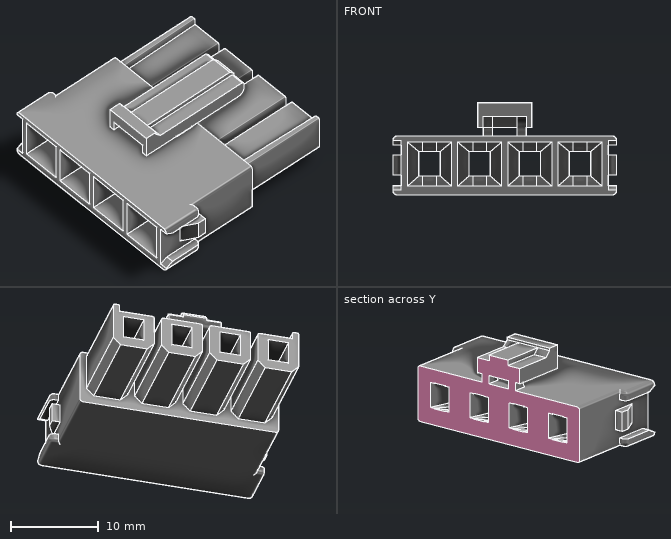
import cadquery as cq

CIRCUITS = 4
PITCH = 5.7

BODY_WIDTH = 23.55
BODY_LENGTH = 14.0
BODY_HEIGHT = 6.75
BODY_EDGE_RADIUS = 0.4

FLANGE_WIDTH = 25.45
FLANGE_LENGTH = 5.22
FLANGE_THICKNESS = 1.07
FLANGE_LIP_THICKNESS = 0.55
FLANGE_RAMP_LENGTH = 0.95
FLANGE_EDGE_RADIUS = 0.53

NUB_FRONT = 2.98
NUB_CREST = 4.89
NUB_REAR = 5.95
NUB_BOTTOM = 2.27
NUB_HEIGHT = 2.32

CAVITY_SIZE = 5.01
CAVITY_BOTTOM = 1.02
FUNNEL_START = 7.64
FUNNEL_END = 12.98
GROOVE_WIDTH = 1.55
GROOVE_LENGTH = 3.56
BORE_WIDTH = 2.4
BORE_HEIGHT = 2.75
BORE_BOTTOM = 2.2

TOTAL_LENGTH = 25.0
POST_WIDTH = 4.85
POST_BOTTOM = 1.05
POST_TOP = 5.6
POST_LOWER_CHAMFER = 0.87
POST_UPPER_RADIUS = 0.25

RIB_TOP = 6.46
RIB_REAR_WIDTH = 0.76
RIB_FRONT_WIDTH = 0.97
RIB_INNER_RADIUS = 0.2

LATCH_WIDTH = 6.15
LATCH_FRONT = 5.6
LATCH_REAR = 20.55
LATCH_BOTTOM = 7.69
LATCH_TOP = 10.5
PRESS_BLOCK_LENGTH = 1.48
SPINE_WIDTH = 2.77
SPINE_TOP = 10.2
SHOULDER_TOP = 9.55
SHOULDER_CHAMFER = 0.3
LATCH_TIP_RADIUS = 0.92

CHANNEL_WIDTH = 4.9
CHANNEL_TOP = 8.93
LEG_WIDTH = 1.07
LEG_WAIST_FRONT = 11.2
LEG_WAIST_REAR = 12.75
LEG_WAIST_Z = 7.69
LEG_FLARE_FRONT = 0.35
LEG_FLARE_REAR = 0.43
LEG_LIP_LENGTH = 0.15
CHANNEL_END = 10.8

EMBED = 0.25


def box(x_min, x_max, y_min, y_max, z_min, z_max):
    size = (x_max - x_min, y_max - y_min, z_max - z_min)
    return cq.Workplane("XY").box(*size, centered=False).translate((x_min, y_min, z_min))


def centred_box(width, y_min, y_max, z_min, z_max):
    return box(-width / 2, width / 2, y_min, y_max, z_min, z_max)


def side_profile(outline, x_min, x_max):
    """Extrude a (Y, Z) outline along X."""
    return cq.Workplane("YZ").polyline(outline).close().extrude(x_max - x_min).translate((x_min, 0, 0))


def mirrored_in_x(shape):
    return shape.union(shape.mirror("YZ"))


def circuit_centres():
    return [(i - (CIRCUITS - 1) / 2) * PITCH for i in range(CIRCUITS)]


def make_body():
    body = centred_box(BODY_WIDTH, 0, BODY_LENGTH, 0, BODY_HEIGHT)
    return body.edges("|Y").fillet(BODY_EDGE_RADIUS)


def make_lower_flange():
    outline = [
        (0, 0),
        (FLANGE_LENGTH, 0),
        (FLANGE_LENGTH, FLANGE_THICKNESS),
        (FLANGE_RAMP_LENGTH, FLANGE_THICKNESS),
        (0, FLANGE_LIP_THICKNESS),
    ]
    flange = side_profile(outline, -FLANGE_WIDTH / 2, FLANGE_WIDTH / 2)
    rear_corners = flange.faces(">Y").edges("|Z")
    outer_edges = rear_corners.add(flange.faces("<Z").edges("|Y or >Y"))
    return outer_edges.fillet(FLANGE_EDGE_RADIUS)


def make_flanges():
    lower = make_lower_flange()
    upper = lower.mirror("XY").translate((0, 0, BODY_HEIGHT))
    return lower.union(upper)


def make_nubs():
    wall = BODY_WIDTH / 2
    crest = FLANGE_WIDTH / 2
    outline = [
        (wall - EMBED, NUB_FRONT),
        (wall, NUB_FRONT),
        (crest, NUB_CREST),
        (crest, NUB_REAR),
        (wall - EMBED, NUB_REAR),
    ]
    nub = cq.Workplane("XY").workplane(offset=NUB_BOTTOM).polyline(outline).close().extrude(NUB_HEIGHT)
    return mirrored_in_x(nub)


def make_post(x_centre):
    post = centred_box(POST_WIDTH, BODY_LENGTH - EMBED, TOTAL_LENGTH, POST_BOTTOM, POST_TOP)
    post = post.faces("<Z").edges("|Y").chamfer(POST_LOWER_CHAMFER)
    post = post.faces(">Z").edges("|Y").fillet(POST_UPPER_RADIUS)
    return post.translate((x_centre, 0, 0))


def make_ribs():
    outer_x = circuit_centres()[0] - POST_WIDTH / 2
    root = POST_TOP - POST_UPPER_RADIUS
    plan = [
        (outer_x, BODY_LENGTH),
        (outer_x + RIB_FRONT_WIDTH, BODY_LENGTH),
        (outer_x + RIB_REAR_WIDTH, TOTAL_LENGTH),
        (outer_x, TOTAL_LENGTH),
    ]
    rib = cq.Workplane("XY").workplane(offset=root).polyline(plan).close().extrude(RIB_TOP - root)
    rib = rib.faces(">Z").edges("<X").fillet(POST_UPPER_RADIUS)
    rib = rib.faces(">Z").edges(">X").fillet(RIB_INNER_RADIUS)
    return mirrored_in_x(rib)


def make_latch_arm():
    block_rear = LATCH_FRONT + PRESS_BLOCK_LENGTH
    ramp = SPINE_TOP - SHOULDER_TOP
    arm = centred_box(LATCH_WIDTH, LATCH_FRONT, LATCH_REAR, LATCH_BOTTOM, SHOULDER_TOP)
    arm = arm.faces(">Y").edges("<Z").fillet(LATCH_TIP_RADIUS)
    arm = arm.faces(">Y").edges(">Z").chamfer(SHOULDER_CHAMFER)

    spine_outline = [
        (LATCH_FRONT, SHOULDER_TOP - LATCH_TIP_RADIUS),
        (LATCH_REAR, SHOULDER_TOP - LATCH_TIP_RADIUS),
        (LATCH_REAR, SHOULDER_TOP),
        (LATCH_REAR - ramp, SPINE_TOP),
        (LATCH_FRONT, SPINE_TOP),
    ]
    spine = side_profile(spine_outline, -SPINE_WIDTH / 2, SPINE_WIDTH / 2)

    block_outline = [
        (LATCH_FRONT, SHOULDER_TOP - EMBED),
        (block_rear + ramp, SHOULDER_TOP - EMBED),
        (block_rear + ramp, SHOULDER_TOP),
        (block_rear, SPINE_TOP),
        (block_rear, LATCH_TOP),
        (LATCH_FRONT, LATCH_TOP),
    ]
    block = side_profile(block_outline, -LATCH_WIDTH / 2, LATCH_WIDTH / 2)
    channel = centred_box(CHANNEL_WIDTH, LATCH_FRONT, CHANNEL_END, LATCH_BOTTOM, CHANNEL_TOP)
    return arm.union(spine).union(block).cut(channel)


def make_right_leg_pocket():
    """Deepening of the channel that exposes the front of the right leg."""
    x_max = CHANNEL_WIDTH / 2
    return box(x_max - LEG_WIDTH, x_max, LATCH_FRONT, LEG_WAIST_FRONT + EMBED, LATCH_BOTTOM, CHANNEL_TOP)


def make_leg(x_min):
    """Leg waisted by front and rear arcs, with a sloped lip under the channel ceiling."""
    foot_front = LEG_WAIST_FRONT - LEG_FLARE_FRONT
    foot_rear = LEG_WAIST_REAR + LEG_FLARE_REAR
    head_z = 2 * LEG_WAIST_Z - BODY_HEIGHT
    return (
        cq.Workplane("YZ", origin=(x_min, 0, 0))
        .moveTo(foot_front, BODY_HEIGHT - EMBED)
        .lineTo(foot_front, BODY_HEIGHT)
        .threePointArc((LEG_WAIST_FRONT, LEG_WAIST_Z), (foot_front, head_z))
        .lineTo(foot_front - LEG_LIP_LENGTH, CHANNEL_TOP)
        .lineTo(foot_rear, CHANNEL_TOP)
        .lineTo(foot_rear, head_z)
        .threePointArc((LEG_WAIST_REAR, LEG_WAIST_Z), (foot_rear, BODY_HEIGHT))
        .lineTo(foot_rear, BODY_HEIGHT - EMBED)
        .close()
        .extrude(LEG_WIDTH)
    )


def make_left_leg_head():
    """Square head that fills the channel in front of the left leg."""
    x_min = -CHANNEL_WIDTH / 2
    front = LEG_WAIST_FRONT - LEG_FLARE_FRONT - LEG_LIP_LENGTH
    return box(x_min, x_min + LEG_WIDTH, front, LEG_WAIST_REAR, LATCH_BOTTOM, CHANNEL_TOP)


def tapered_passage(start_width, end_width, y_start):
    """Passage that shrinks from the cavity height at y_start to the bore height at the funnel end."""
    mouth_z = CAVITY_BOTTOM + CAVITY_SIZE / 2
    bore_z = BORE_BOTTOM + BORE_HEIGHT / 2
    return (
        cq.Workplane("XZ", origin=(0, y_start, 0))
        .center(0, mouth_z)
        .rect(start_width, CAVITY_SIZE)
        .workplane(offset=y_start - FUNNEL_END)
        .center(0, bore_z - mouth_z)
        .rect(end_width, BORE_HEIGHT)
        .loft(ruled=True)
    )


def make_cavity(x_centre):
    cavity_top = CAVITY_BOTTOM + CAVITY_SIZE
    groove_start = FUNNEL_END - GROOVE_LENGTH
    mouth = centred_box(CAVITY_SIZE, 0, FUNNEL_START, CAVITY_BOTTOM, cavity_top)
    funnel = tapered_passage(CAVITY_SIZE, BORE_WIDTH, FUNNEL_START)
    groove_mouth = centred_box(GROOVE_WIDTH, 0, groove_start, CAVITY_BOTTOM, cavity_top)
    grooves = tapered_passage(GROOVE_WIDTH, GROOVE_WIDTH, groove_start).union(groove_mouth)
    bore = centred_box(BORE_WIDTH, FUNNEL_END, TOTAL_LENGTH, BORE_BOTTOM, BORE_BOTTOM + BORE_HEIGHT)
    return mouth.union(funnel).union(grooves).union(bore).translate((x_centre, 0, 0))


result = make_body().union(make_flanges()).union(make_nubs())
for centre in circuit_centres():
    result = result.union(make_post(centre))
result = result.union(make_ribs())
result = result.union(make_latch_arm().cut(make_right_leg_pocket()))
result = result.union(make_leg(-CHANNEL_WIDTH / 2))
result = result.union(make_left_leg_head())
result = result.union(make_leg(CHANNEL_WIDTH / 2 - LEG_WIDTH))
for centre in circuit_centres():
    result = result.cut(make_cavity(centre))